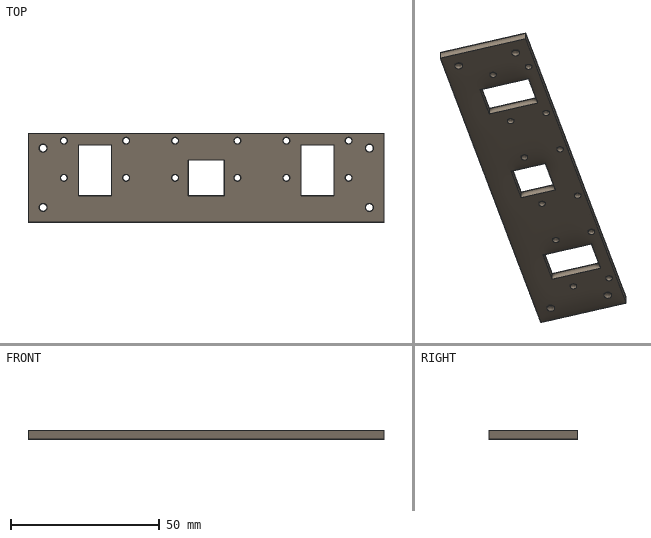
import cadquery as cq

LENGTH = 120.0
WIDTH = 30.0
THICKNESS = 3.0

MOUNT_HOLE_DIAMETER = 2.6
MOUNT_INSET = 5.0

STATION_PITCH = 37.5
STATION_CENTERS = [-STATION_PITCH, 0.0, STATION_PITCH]
SCREW_HOLE_DIAMETER = 2.2
SCREW_SPACING_X = 21.0
SCREW_SPACING_Y = 12.5

WINDOW_BOTTOM_Y = -6.0
SIDE_WINDOW_LENGTH = 11.0
SIDE_WINDOW_HEIGHT = 17.0
CENTER_WINDOW_SIZE = 12.0


def make_plate():
    return cq.Workplane("XY").box(LENGTH, WIDTH, THICKNESS, centered=(True, True, False))


def mount_holes():
    """Cylinders for the corner mounting holes."""
    return (
        cq.Workplane("XY")
        .rect(LENGTH - 2 * MOUNT_INSET, WIDTH - 2 * MOUNT_INSET, forConstruction=True)
        .vertices()
        .circle(MOUNT_HOLE_DIAMETER / 2)
        .extrude(THICKNESS)
    )


def screw_holes(station_x):
    """Cylinders for one station: a row on the plate's centre line and a row above it."""
    return (
        cq.Workplane("XY")
        .center(station_x, SCREW_SPACING_Y / 2)
        .rect(SCREW_SPACING_X, SCREW_SPACING_Y, forConstruction=True)
        .vertices()
        .circle(SCREW_HOLE_DIAMETER / 2)
        .extrude(THICKNESS)
    )


def window(station_x, length, height):
    """Rectangular block standing on the common lower window edge."""
    return (
        cq.Workplane("XY")
        .center(station_x, WINDOW_BOTTOM_Y + height / 2)
        .rect(length, height)
        .extrude(THICKNESS)
    )


result = make_plate().cut(mount_holes())

for center_x in STATION_CENTERS:
    result = result.cut(screw_holes(center_x))

for center_x in (-STATION_PITCH, STATION_PITCH):
    result = result.cut(window(center_x, SIDE_WINDOW_LENGTH, SIDE_WINDOW_HEIGHT))

result = result.cut(window(0.0, CENTER_WINDOW_SIZE, CENTER_WINDOW_SIZE))